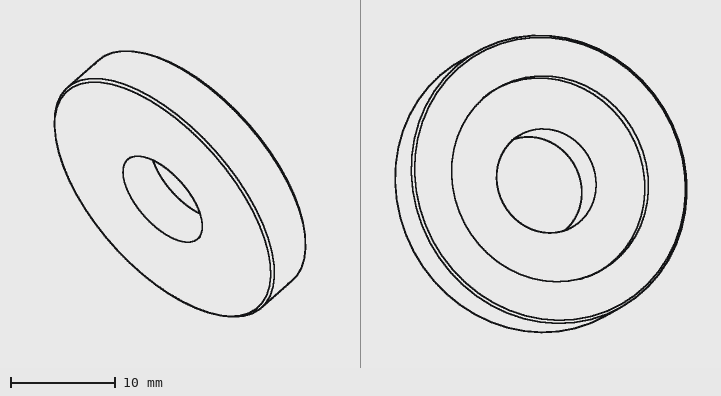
import cadquery as cq

outer_diameter = 28.0
thickness = 5.0
rim_chamfer = 0.25
hole_diameter = 10.1
recess_diameter = 20.0
recess_depth = 1.0

front_y = -thickness / 2
recess_floor_y = thickness / 2 - recess_depth


def cylinder_along_y(diameter, start_y, length):
    """Cylinder on the Y axis, running from start_y toward +Y."""
    axis_start = cq.Vector(0, start_y, 0)
    axis_direction = cq.Vector(0, 1, 0)
    return cq.Workplane(cq.Solid.makeCylinder(diameter / 2, length, axis_start, axis_direction))


def make_disc():
    """Solid disc centred on the origin, with both outer rims chamfered."""
    disc = cylinder_along_y(outer_diameter, front_y, thickness)
    return disc.faces("<Y or >Y").edges().chamfer(rim_chamfer)


def make_hole():
    """Cutter for the plain through hole."""
    return cylinder_along_y(hole_diameter, front_y, thickness)


def make_recess():
    """Cutter for the shallow round recess around the hole in the +Y face."""
    return cylinder_along_y(recess_diameter, recess_floor_y, recess_depth)


result = make_disc().cut(make_hole()).cut(make_recess())